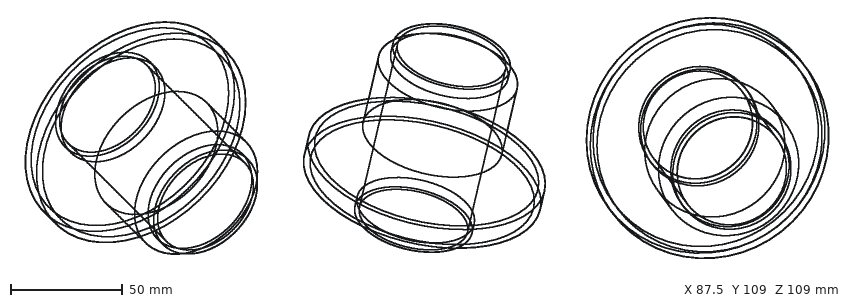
import cadquery as cq

total_length = 87.5
flange_radius = 54.5
cone_rim_radius = 51.5
hub_radius = 32.0
spigot_radius = 27.0
bore_radius = 25.0

spigot_length = 5.0
front_cone_length = 15.0
flange_width = 10.0
rear_cone_length = 13.5
hub_bevel_length = 3.5

front_cone_start = spigot_length
flange_start = front_cone_start + front_cone_length
flange_end = flange_start + flange_width
hub_start = flange_end + rear_cone_length
rear_spigot_start = total_length - spigot_length
hub_end = rear_spigot_start - hub_bevel_length

half_section = [
    (0, bore_radius),
    (0, spigot_radius),
    (front_cone_start, spigot_radius),
    (flange_start, cone_rim_radius),
    (flange_start, flange_radius),
    (flange_end, flange_radius),
    (flange_end, cone_rim_radius),
    (hub_start, hub_radius),
    (hub_end, hub_radius),
    (rear_spigot_start, spigot_radius),
    (total_length, spigot_radius),
    (total_length, bore_radius),
]

result = (
    cq.Workplane("XY")
    .polyline(half_section)
    .close()
    .revolve(360, (0, 0, 0), (1, 0, 0))
)